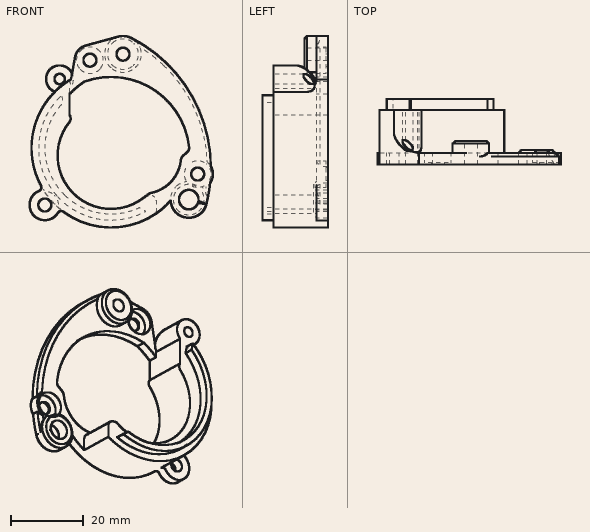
import cadquery as cq
import math


flange_thickness = 3.2
body_height = 15.0
lip_height = 17.96

bore_radius = 14.6
barrel_radius = 21.8
barrel_center = (0.0, 2.05)
wall_end_top = (10.77, -10.9)
wall_end_top_mid = (9.75, -11.0)
wall_end_round = 1.65
wall_left_x = -11.33
left_end_flat_z = 11.1
left_end_nose = (-11.03, 9.9)
left_bore_point_x = -11.25
right_bore_point_x = 8.97
right_end_shoulder = (10.73, -10.25)

lip_outer_radius = 19.8
lip_inner_radius = 18.1
lip_left_outer_x = -13.5
lip_left_inner_x = -13.1
lip_right_outer_x = 9.5
lip_right_inner_x = 7.85

screw_hole_diameter = 3.5
dowel_hole_diameter = 5.3
corner_radius = 4.2
boss_radius = 5.0
corner_hole = (-5.77, 26.13)
top_hole = (3.29, 27.78)
side_hole = (23.76, -5.08)
lug_hole = (-18.13, -13.55)
dowel_hole = (21.32, -12.08)
top_boss_height = 6.5
dowel_boss_height = 4.0
boss_chamfer = 0.8
counterbore_diameter = 7.3
counterbore_floor_y = 0.6

edge_radius = 40.0
edge_chamfer = 1.0
left_edge_tilt = math.radians(10)
lobe_sweep = math.radians(30)
flange_joint_round = 1.0

opening_radius = 21.5
opening_left_z = 16.85
opening_upper_left_x = -7.3
opening_upper_left_mid = (-9.15, 18.85)
opening_right_x = 21.36
opening_corner_mid = (21.32, 1.65)
opening_corner_end = (20.8, 0.9)
side_pocket_center = (9.2, -0.35)
side_pocket_radius = 9.95
pocket_shoulder_start = (19.8, 0.0)
pocket_shoulder_mid = (19.4, -0.45)
pocket_end_z = -1.2

tube_center = (-14.06, 20.97)
tube_diameter = 7.5
tube_hole_diameter = 2.8
tube_end_y = 5.35
tube_end_round = 0.95

channel_diameter = 7.5
channel_end_y = 12.4
channel_end_round = 2.8
channel_rim_round = 2.0


def polar(center, radius, angle):
    return (center[0] + radius * math.cos(angle), center[1] + radius * math.sin(angle))


def angle_to(center, point):
    return math.atan2(point[1] - center[1], point[0] - center[0])


def on_circle_at_x(center, radius, x, side):
    """Point of a circle at a given x; side is +1 for the upper and -1 for the lower one."""
    return (x, center[1] + side * math.sqrt(radius**2 - (x - center[0]) ** 2))


def arc_middle(center, radius, start, end, turn):
    """Middle of the arc from start to end; turn is +1 counterclockwise, -1 clockwise."""
    first = angle_to(center, start)
    sweep = (turn * (angle_to(center, end) - first)) % (2 * math.pi)
    return polar(center, radius, first + turn * sweep / 2)


def circle_crossings(center_a, radius_a, center_b, radius_b):
    distance = math.dist(center_a, center_b)
    along = (distance**2 + radius_a**2 - radius_b**2) / (2 * distance)
    spread = math.acos(along / radius_a)
    heading = angle_to(center_a, center_b)
    return [polar(center_a, radius_a, heading - spread), polar(center_a, radius_a, heading + spread)]


def sketch(y=0.0):
    return cq.Workplane("XZ", origin=(0, y, 0))


def prism(outline, height):
    return outline.extrude(-height)


def disc(center, radius, height, y=0.0):
    """Round prism whose seam line faces the bore axis."""
    solid = prism(sketch(y).moveTo(*center).circle(radius), height)
    inward = math.degrees(angle_to(center, (0.0, 0.0)))
    return solid.rotate((center[0], 0, center[1]), (center[0], 1, center[1]), -inward)


bore_center = (0.0, 0.0)
left_bore_point = on_circle_at_x(bore_center, bore_radius, left_bore_point_x, 1)
right_bore_point = on_circle_at_x(bore_center, bore_radius, right_bore_point_x, -1)
bore_middle = arc_middle(bore_center, bore_radius, left_bore_point, right_bore_point, 1)


def edge_circle_center():
    """Center of the large edge circle that touches both boss circles from outside."""
    dx = dowel_hole[0] - top_hole[0]
    dz = dowel_hole[1] - top_hole[1]
    half = math.hypot(dx, dz) / 2
    offset = math.sqrt((edge_radius - boss_radius) ** 2 - half**2)
    middle = ((dowel_hole[0] + top_hole[0]) / 2, (dowel_hole[1] + top_hole[1]) / 2)
    return (middle[0] + offset * dz / (2 * half), middle[1] - offset * dx / (2 * half))


edge_center = edge_circle_center()


def flange_and_barrel():
    """Solid barrel joined to the flange with its chamfered edge, lug and corners."""
    corner_tilt = math.pi - left_edge_tilt
    left_tangent = polar(corner_hole, corner_radius, corner_tilt)
    left_foot_z = barrel_center[1] + barrel_radius / 2
    left_foot_x = left_tangent[0] - (left_tangent[1] - left_foot_z) * math.tan(left_edge_tilt)

    span = math.dist(corner_hole, top_hole)
    top_normal = angle_to(corner_hole, top_hole) + math.acos((corner_radius - boss_radius) / span)
    edge_start_angle = angle_to(edge_center, top_hole)
    edge_end_angle = angle_to(edge_center, dowel_hole)
    lobe_end_angle = edge_end_angle - lobe_sweep

    corner_end = polar(corner_hole, corner_radius, top_normal)
    top_start = polar(top_hole, boss_radius, top_normal)
    edge_start = polar(edge_center, edge_radius, edge_start_angle)
    edge_middle = polar(edge_center, edge_radius, (edge_start_angle + edge_end_angle) / 2)
    edge_end = polar(edge_center, edge_radius, edge_end_angle)
    lobe_end = polar(dowel_hole, boss_radius, lobe_end_angle)

    upper = prism(
        sketch()
        .moveTo(left_foot_x, left_foot_z)
        .lineTo(*left_tangent)
        .threePointArc(polar(corner_hole, corner_radius, (corner_tilt + top_normal) / 2), corner_end)
        .lineTo(*top_start)
        .lineTo(*top_hole)
        .lineTo(*edge_start)
        .threePointArc(edge_middle, edge_end)
        .threePointArc(polar(dowel_hole, boss_radius, (edge_end_angle + lobe_end_angle) / 2), lobe_end)
        .lineTo(*bore_center)
        .close(),
        flange_thickness,
    )
    edge = cq.selectors.NearestToPointSelector((edge_middle[0], flange_thickness, edge_middle[1]))
    upper = upper.edges(edge).chamfer(edge_chamfer)

    plate = disc(barrel_center, barrel_radius, body_height).union(upper)
    for center in (lug_hole, side_hole):
        plate = plate.union(disc(center, corner_radius, flange_thickness))
    return round_flange_joints(plate)


def round_flange_joints(plate):
    """Round the concave corners where the lug and the dowel lobe meet the barrel circle."""
    joints = circle_crossings(barrel_center, barrel_radius, lug_hole, corner_radius)
    joints.append(circle_crossings(barrel_center, barrel_radius, dowel_hole, boss_radius)[0])
    for x, z in joints:
        corner = cq.selectors.NearestToPointSelector((x, flange_thickness / 2, z))
        plate = plate.edges("|Y").edges(corner).fillet(flange_joint_round)
    return plate


def flange_opening():
    pocket_rise = pocket_end_z - side_pocket_center[1]
    pocket_end_x = side_pocket_center[0] + math.sqrt(side_pocket_radius**2 - pocket_rise**2)
    pocket_end = (pocket_end_x, pocket_end_z)
    pocket_middle = arc_middle(side_pocket_center, side_pocket_radius, right_end_shoulder, pocket_end, 1)
    upper_left = on_circle_at_x(bore_center, opening_radius, opening_upper_left_x, 1)
    upper_right = on_circle_at_x(bore_center, opening_radius, opening_right_x, 1)
    return prism(
        sketch()
        .moveTo(wall_left_x, opening_left_z)
        .lineTo(wall_left_x, left_end_flat_z)
        .threePointArc(left_end_nose, left_bore_point)
        .threePointArc(bore_middle, right_bore_point)
        .lineTo(*right_end_shoulder)
        .threePointArc(pocket_middle, pocket_end)
        .threePointArc(pocket_shoulder_mid, pocket_shoulder_start)
        .lineTo(*opening_corner_end)
        .threePointArc(opening_corner_mid, upper_right)
        .threePointArc(arc_middle(bore_center, opening_radius, upper_right, upper_left, 1), upper_left)
        .threePointArc(opening_upper_left_mid, (wall_left_x, opening_left_z))
        .close(),
        body_height,
    )


def wall_clearance():
    """Space above the flange, bounded by the two ends of the barrel wall."""
    round_center = (wall_end_top[0], wall_end_top[1] - wall_end_round)
    round_middle = polar(round_center, wall_end_round, math.pi / 4)
    round_end = polar(round_center, wall_end_round, 0)
    reach = 2 * barrel_radius
    return prism(
        sketch(flange_thickness)
        .moveTo(wall_left_x, reach)
        .lineTo(wall_left_x, left_end_flat_z)
        .lineTo(*right_bore_point)
        .threePointArc(wall_end_top_mid, wall_end_top)
        .threePointArc(round_middle, round_end)
        .lineTo(round_end[0], -reach)
        .lineTo(reach, -reach)
        .lineTo(reach, reach)
        .close(),
        body_height,
    )


def cut_access_channel(part):
    """Round-ended screw channel along Y, on the lug axis, with a rounded rim."""
    radius = channel_diameter / 2
    channel = disc(lug_hole, radius, channel_end_y - flange_thickness, flange_thickness)
    part = part.cut(channel.faces(">Y").edges().fillet(channel_end_round))
    x, z = circle_crossings(barrel_center, barrel_radius, lug_hole, radius)[0]
    middle_y = (flange_thickness + channel_end_y - channel_end_round) / 2
    rim = cq.selectors.NearestToPointSelector((x, middle_y, z))
    return part.edges("|Y").edges(rim).fillet(channel_rim_round)


def spigot_lip():
    outer_left = on_circle_at_x(barrel_center, lip_outer_radius, lip_left_outer_x, 1)
    inner_left = on_circle_at_x(barrel_center, lip_inner_radius, lip_left_inner_x, 1)
    outer_right = on_circle_at_x(barrel_center, lip_outer_radius, lip_right_outer_x, -1)
    inner_right = on_circle_at_x(barrel_center, lip_inner_radius, lip_right_inner_x, -1)
    return prism(
        sketch(body_height)
        .moveTo(*outer_left)
        .threePointArc(arc_middle(barrel_center, lip_outer_radius, outer_left, outer_right, 1), outer_right)
        .lineTo(*inner_right)
        .threePointArc(arc_middle(barrel_center, lip_inner_radius, inner_right, inner_left, -1), inner_left)
        .close(),
        lip_height - body_height,
    )


def slanted_tube():
    """Tube boss whose lower end is cut at 45 degrees, rising away from the barrel."""
    tube = disc(tube_center, tube_diameter / 2, body_height)
    reach = 2 * body_height
    cutter = cq.Workplane(
        cq.Plane(
            origin=(tube_center[0], tube_end_y, tube_center[1]),
            xDir=(1, 0, 1),
            normal=(-1 / math.sqrt(2), -1, 1 / math.sqrt(2)),
        )
    ).rect(reach, reach).extrude(reach)
    tube = tube.cut(cutter)
    slanted_face = cq.selectors.NearestToPointSelector((tube_center[0], tube_end_y, tube_center[1]))
    return tube.faces(slanted_face).edges().fillet(tube_end_round)


def chamfered_boss(center, height):
    return disc(center, boss_radius, height).faces(">Y").chamfer(boss_chamfer)


def through_hole(center, diameter):
    return disc(center, diameter / 2, lip_height)


result = cut_access_channel(flange_and_barrel())
result = result.cut(flange_opening()).cut(wall_clearance())
result = result.union(chamfered_boss(top_hole, top_boss_height))
result = result.union(chamfered_boss(dowel_hole, dowel_boss_height))
for hole_center in (corner_hole, side_hole):
    result = result.cut(disc(hole_center, counterbore_diameter / 2, flange_thickness, counterbore_floor_y))
result = result.union(spigot_lip()).union(slanted_tube())
for hole_center in (corner_hole, top_hole, side_hole):
    result = result.cut(through_hole(hole_center, screw_hole_diameter))
result = result.cut(disc(lug_hole, screw_hole_diameter / 2, flange_thickness))
result = result.cut(through_hole(dowel_hole, dowel_hole_diameter))
result = result.cut(through_hole(tube_center, tube_hole_diameter))